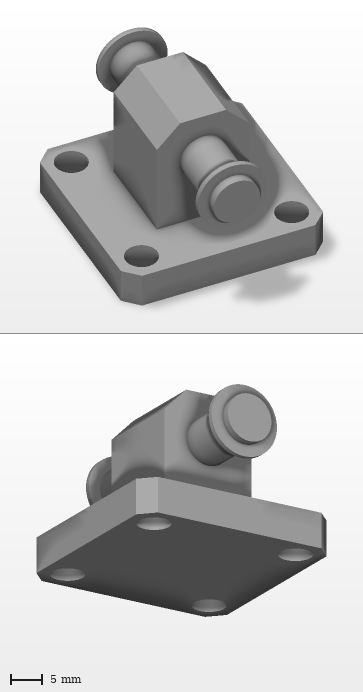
import cadquery as cq

base_side = 35.0
base_thickness = 6.0
base_corner_chamfer = 2.5
hole_diameter = 5.5
hole_spacing = 26.0

total_height = 26.0
block_side = 16.0
block_chamfer = 4.0

pin_length = 41.0
pin_diameter = 8.0
pin_height = 18.0
ring_diameter = 12.0
ring_thickness = 0.9
ring_end_gap = 1.6


def make_base():
    """Plate with chamfered corners and four through holes."""
    plate = cq.Workplane("XY").box(base_side, base_side, base_thickness, centered=(True, True, False))
    plate = plate.edges("|Z").chamfer(base_corner_chamfer)
    return (
        plate.faces(">Z").workplane()
        .rect(hole_spacing, hole_spacing, forConstruction=True)
        .vertices()
        .hole(hole_diameter)
    )


def make_block():
    """Block with its two upper edges along X chamfered."""
    block_height = total_height - base_thickness
    block = cq.Workplane("XY", origin=(0, 0, base_thickness))
    block = block.box(block_side, block_side, block_height, centered=(True, True, False))
    return block.edges("|X and >Z").chamfer(block_chamfer)


def make_disc(start_x, length, diameter):
    """Cylinder on the pin axis, running from start_x toward +X."""
    plane = cq.Workplane("YZ", origin=(start_x, 0, pin_height))
    return plane.circle(diameter / 2).extrude(length)


result = make_base().union(make_block())
result = result.union(make_disc(-pin_length / 2, pin_length, pin_diameter))

ring_outer_x = pin_length / 2 - ring_end_gap
for ring_start in (-ring_outer_x, ring_outer_x - ring_thickness):
    result = result.union(make_disc(ring_start, ring_thickness, ring_diameter))